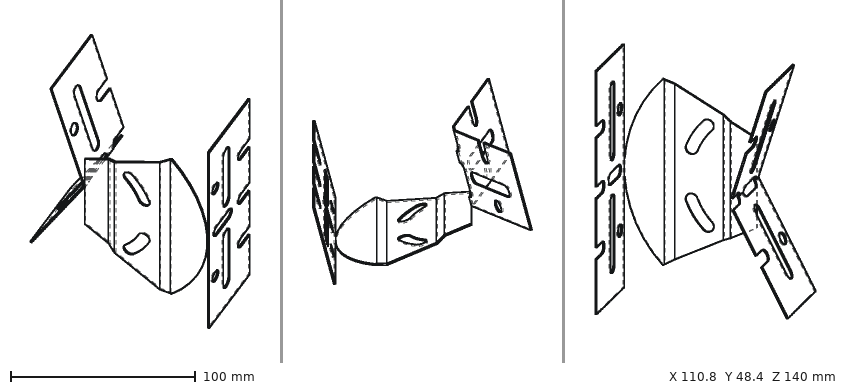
import cadquery as cq
import math

sheet = 1.0
slot_width = 7.0
slot_radius = slot_width / 2

panel_length = 140.0
half_length = panel_length / 2
panel_width = 45.4
long_slot_length = 45.2
long_slot_y = 19.3
long_slot_z = 32.5
hole_y = 7.0
hole_z = 35.0
notch_depth = 13.0
middle_slot_length = 20.5
middle_slot_y = 15.4

upper_angle = 17.0
lower_angle = 28.0

fan_z = -0.8
fan_radius = 75.9
fan_corner_angle = 45.0
fan_edge_half = 25.8
fan_slot_radius = 40.9
fan_slot_start = 21.3
fan_slot_end = 45.0
channel_face_y = -3.0
channel_starts = 14.7
channel_ends = 53.1
channel_ramp = 5.0


def polar(radius, degrees):
    """Point of the fan at a radius and angle about the middle of its straight edge."""
    angle = math.radians(degrees)
    return (radius * math.cos(angle), radius * math.sin(angle))


def slot_cutter(length, y, z, angle=0):
    """Round-ended slot through the sheet, lying along Y, or along Z when turned 90 degrees."""
    return cq.Workplane("YZ").center(y, z).slot2D(length, slot_width, angle).extrude(sheet)


def notch_cutter(z):
    """Slot that runs out through the panel's rear edge."""
    return slot_cutter(2 * notch_depth, panel_width, z)


def perforated_panel():
    """Flat panel with its -X face on X = 0."""
    panel = cq.Workplane("XY").box(sheet, panel_width, panel_length, centered=(False, False, True))
    for side in (1, -1):
        hole = cq.Workplane("YZ").center(hole_y, side * hole_z).circle(slot_radius).extrude(sheet)
        panel = panel.cut(slot_cutter(long_slot_length, long_slot_y, side * long_slot_z, 90))
        panel = panel.cut(hole)
        panel = panel.cut(notch_cutter(side * hole_z))
    panel = panel.cut(notch_cutter(0))
    return panel.cut(slot_cutter(middle_slot_length, middle_slot_y, 0))


def make_flat_panel():
    """Straight panel touching the fan's rim."""
    return perforated_panel().translate((fan_radius, 0, 0))


def make_bent_panel():
    """The same panel folded about its middle, with the outside of the fold on the fan's edge."""
    half_bend = (upper_angle + lower_angle) / 2
    mitre = sheet * math.tan(math.radians(half_bend))
    panel = perforated_panel()

    def leg(side, tilt):
        half = (
            cq.Workplane("XZ")
            .polyline([(0, 0), (sheet, -side * mitre), (sheet, side * half_length), (0, side * half_length)])
            .close()
            .extrude(-panel_width)
        )
        return panel.intersect(half).rotate((0, 0, 0), (0, 1, 0), tilt)

    fold_tilt = math.radians((lower_angle - upper_angle) / 2)
    fold_x = -sheet / math.cos(math.radians(half_bend)) * math.cos(fold_tilt)
    upper = math.radians(upper_angle)
    fold_z = half_length - half_length * math.cos(upper) - sheet * math.sin(upper)
    bent = leg(1, -upper_angle).union(leg(-1, lower_angle))
    return bent.translate((fold_x, 0, fold_z))


def channel_profile():
    """Sheet section in the XY plane: flat margins with a pressed channel between them."""
    front = -sheet / 2
    ramp_angle = math.atan2(front - channel_face_y, channel_ramp)
    back_shift = sheet * math.tan(ramp_angle / 2)

    def surface(y, shift):
        return [
            (0, front + y),
            (channel_starts + shift, front + y),
            (channel_starts + channel_ramp + shift, channel_face_y + y),
            (channel_ends - channel_ramp - shift, channel_face_y + y),
            (channel_ends - shift, front + y),
            (fan_radius, front + y),
        ]

    outline = surface(0, 0) + surface(sheet, back_shift)[::-1]
    return cq.Workplane("XY").polyline(outline).close()


def fan_slot(side):
    """Curved slot concentric with the rim, on the upper (1) or lower (-1) side."""
    middle = (fan_slot_start + fan_slot_end) / 2
    outer = fan_slot_radius + slot_radius
    inner = fan_slot_radius - slot_radius
    start, end = side * fan_slot_start, side * fan_slot_end
    start_x, start_z = polar(fan_slot_radius, start)
    end_x, end_z = polar(fan_slot_radius, end)
    start_out_x, start_out_z = polar(slot_radius, start - side * 90)
    end_out_x, end_out_z = polar(slot_radius, end + side * 90)
    return (
        cq.Workplane("XZ")
        .moveTo(*polar(outer, start))
        .threePointArc(polar(outer, side * middle), polar(outer, end))
        .threePointArc((end_x + end_out_x, end_z + end_out_z), polar(inner, end))
        .threePointArc(polar(inner, side * middle), polar(inner, start))
        .threePointArc((start_x + start_out_x, start_z + start_out_z), polar(outer, start))
        .close()
        .extrude(panel_width, both=True)
    )


def make_fan():
    """Channelled sheet trimmed to a truncated sector, with two curved slots."""
    outline = (
        cq.Workplane("XZ")
        .moveTo(0, -fan_edge_half)
        .lineTo(*polar(fan_radius, -fan_corner_angle))
        .threePointArc((fan_radius, 0), polar(fan_radius, fan_corner_angle))
        .lineTo(0, fan_edge_half)
        .close()
        .extrude(panel_width, both=True)
    )
    fan = channel_profile().extrude(fan_radius, both=True).intersect(outline)
    for side in (1, -1):
        fan = fan.cut(fan_slot(side))
    return fan.translate((0, 0, fan_z))


flat_panel = make_flat_panel().solids()
bent_panel = make_bent_panel().solids()
fan_bracket = make_fan().solids()

result = cq.Compound.makeCompound([flat_panel.val(), bent_panel.val(), fan_bracket.val()])